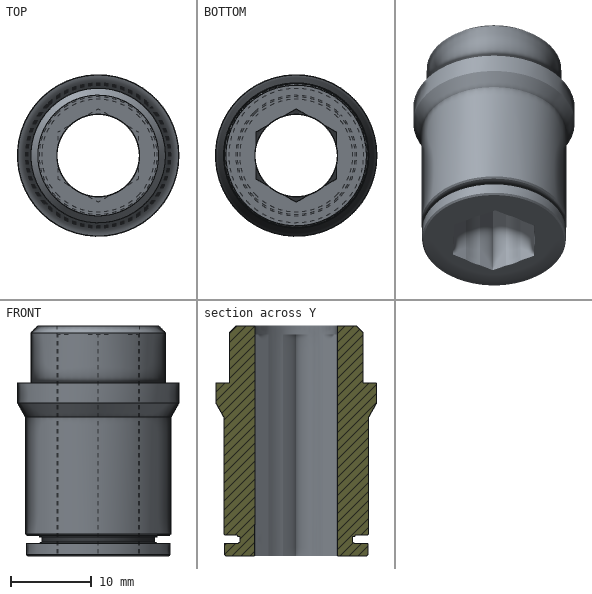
import cadquery as cq
import math

height = 28.5
foot_diameter = 17.8
groove_diameter = 14.0
groove_lip_diameter = 14.6
body_diameter = 18.0
flange_diameter = 20.0
neck_diameter = 16.67

foot_top = 1.57
body_bottom = 2.56
body_top = 17.2
flange_bottom = 18.98
flange_top = 21.45

foot_chamfer = 0.2
body_chamfer = 0.2
neck_chamfer = 0.85
groove_lip_height = 0.17

bore_diameter = 10.2
hex_across_flats = 10.0
hex_top_depth = 1.08


def disc(diameter, bottom, top):
    """Cylinder on the Z axis between two levels."""
    return cq.Workplane("XY").workplane(offset=bottom).circle(diameter / 2).extrude(top - bottom)


def revolve_profile(points):
    """Solid of revolution about Z from a closed (radius, level) outline."""
    return cq.Workplane("XZ").polyline(points).close().revolve(360, (0, 0), (0, 1))


def make_foot():
    return disc(foot_diameter, 0, foot_top).faces("<Z").chamfer(foot_chamfer)


def make_groove_core():
    """Narrow core that flares into the foot and steps out below the body."""
    core_radius = groove_diameter / 2
    lip_radius = groove_lip_diameter / 2
    profile = [
        (0, foot_top),
        (lip_radius, foot_top),
        (core_radius, foot_top + groove_lip_height),
        (core_radius, body_bottom - groove_lip_height),
        (lip_radius, body_bottom - groove_lip_height),
        (lip_radius, body_bottom),
        (0, body_bottom),
    ]
    return revolve_profile(profile)


def make_body():
    return disc(body_diameter, body_bottom, body_top).faces("<Z").chamfer(body_chamfer)


def make_flange():
    """Flange with a conical underside that tapers down to the body."""
    profile = [
        (0, body_top),
        (body_diameter / 2, body_top),
        (flange_diameter / 2, flange_bottom),
        (flange_diameter / 2, flange_top),
        (0, flange_top),
    ]
    return revolve_profile(profile)


def make_neck():
    return disc(neck_diameter, flange_top, height).faces(">Z").chamfer(neck_chamfer)


def make_hex_socket():
    """Hexagonal prism with two of its corners on the Y axis."""
    across_corners = hex_across_flats / math.cos(math.radians(30))
    prism = cq.Workplane("XY").polygon(6, across_corners).extrude(height - hex_top_depth)
    return prism.rotate((0, 0, 0), (0, 0, 1), 30)


outside = make_foot().union(make_groove_core()).union(make_body()).union(make_flange()).union(make_neck())
result = outside.cut(disc(bore_diameter, 0, height)).cut(make_hex_socket())